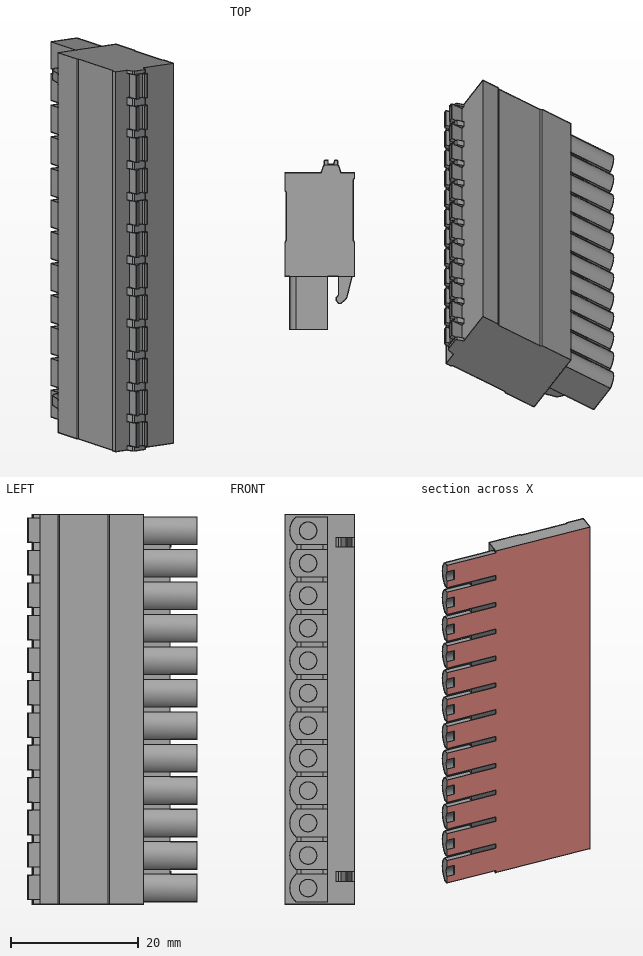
import cadquery as cq
import math

OVERLAP = 0.3

pole_count = 12
height = 60.95
pitch = height / pole_count
width = 10.9
housing_depth = 16.2
half_width = width / 2

recess_depth = 0.2
recess_ramp = 0.25
recess_start = 5.3
left_recess_end = 13.4
right_recess_end = 15.35

plug_length = 8.35
plug_height = 4.3
plug_axis_x = -1.8
plug_right_x = 1.2
plug_radius = 2.85
hole_diameter = 2.75
hole_depth = 1.2

rib_length = 4.15
rib_spans = ((-3.6, -2.9), (0.5, plug_right_x))

rail_center_x = 1.75
rail_base_width = 3.1
rail_top_width = 2.3
rail_height = 1.2
rail_chamfer = 0.2
tab_width = 2.15
tab_height = 3.85
tab_offset_z = 0.09
tab_length = 1.95
left_lip_width = 0.6
right_lip_width = 0.5
right_lip_flare = 0.2
lip_length = 0.6
lip_chamfer = 0.1

latch_thickness = 1.5
latch_inset = 3.6
latch_pad = 0.05
latch_profile = [
    (2.9, OVERLAP),
    (2.9, -2.9),
    (2.55, -3.35),
    (2.55, -3.8),
    (2.9, -4.25),
    (3.3, -4.25),
    (4.0, -3.65),
    (4.25, -3.3),
    (5.05, -latch_pad),
    (half_width, -latch_pad),
    (half_width, OVERLAP),
]

pole_heights = [(i + 0.5) * pitch - height / 2 for i in range(pole_count)]
gap_heights = [i * pitch - height / 2 for i in range(1, pole_count)]


def block(x_span, y_span, z_span):
    """Axis-aligned box given by its limits along each axis."""
    (x0, x1), (y0, y1), (z0, z1) = x_span, y_span, z_span
    return cq.Workplane("XY").box(x1 - x0, y1 - y0, z1 - z0, centered=False).translate((x0, y0, z0))


def span(center, size):
    """Limits of a length placed symmetrically about a centre."""
    return (center - size / 2, center + size / 2)


def upright(points, z_center, z_size):
    """Closed XY outline extruded symmetrically about a height."""
    outline = cq.Workplane("XY", origin=(0, 0, z_center)).polyline(points).close()
    return outline.extrude(z_size / 2, both=True)


def make_housing():
    inner = half_width - recess_depth
    outline = [
        (-half_width, 0),
        (half_width, 0),
        (half_width, recess_start),
        (inner, recess_start + recess_ramp),
        (inner, right_recess_end - recess_ramp),
        (half_width, right_recess_end),
        (half_width, housing_depth),
        (-half_width, housing_depth),
        (-half_width, left_recess_end),
        (-inner, left_recess_end - recess_ramp),
        (-inner, recess_start + recess_ramp),
        (-half_width, recess_start),
    ]
    return upright(outline, 0, height)


def make_plug(z):
    half = plug_height / 2
    corner_x = plug_axis_x - math.sqrt(plug_radius**2 - half**2)
    return (
        cq.Workplane("XZ", origin=(0, OVERLAP, z))
        .moveTo(corner_x, half)
        .threePointArc((plug_axis_x - plug_radius, 0), (corner_x, -half))
        .lineTo(plug_right_x, -half)
        .lineTo(plug_right_x, half)
        .close()
        .extrude(plug_length + OVERLAP)
    )


def make_hole(z):
    return (
        cq.Workplane("XZ", origin=(plug_axis_x, hole_depth - plug_length, z))
        .circle(hole_diameter / 2)
        .extrude(hole_depth)
    )


def make_rail():
    base = housing_depth - OVERLAP
    half_base = rail_base_width / 2
    half_top = rail_top_width / 2
    outline = [
        (rail_center_x - half_base, base),
        (rail_center_x + half_base, base),
        (rail_center_x + half_base, housing_depth),
        (rail_center_x + half_top, housing_depth + rail_height),
        (rail_center_x - half_top, housing_depth + rail_height),
        (rail_center_x - half_base, housing_depth),
    ]
    rail = upright(outline, 0, height).faces(">Y").edges("|Z").chamfer(rail_chamfer)
    for z in pole_heights:
        rail = rail.cut(
            block(
                span(rail_center_x, rail_base_width),
                (housing_depth, housing_depth + rail_height),
                span(z + tab_offset_z, tab_height),
            )
        )
    return rail


def make_tab(z):
    tip = housing_depth + tab_length
    left, right = span(rail_center_x, tab_width)
    tab = block((left, right), (housing_depth - OVERLAP, tip), span(z + tab_offset_z, tab_height))
    tab = tab.faces(">Y").edges("|Z").chamfer(lip_chamfer)
    notch_left = left + left_lip_width
    notch_right = right - right_lip_width
    notch = [
        (notch_left, tip),
        (notch_left, tip - lip_length),
        (notch_right - right_lip_flare, tip - lip_length),
        (notch_right, tip),
    ]
    return tab.cut(upright(notch, z + tab_offset_z, tab_height))


result = make_housing().union(make_rail())

for z in pole_heights:
    result = result.union(make_tab(z))
    result = result.union(make_plug(z).cut(make_hole(z)))

for z in gap_heights:
    for rib_span in rib_spans:
        rib = block(rib_span, (-rib_length, OVERLAP), span(z, pitch - plug_height))
        result = result.union(rib)

latch_z = height / 2 - latch_inset - latch_thickness / 2
for z in (latch_z, -latch_z):
    result = result.union(upright(latch_profile, z, latch_thickness))